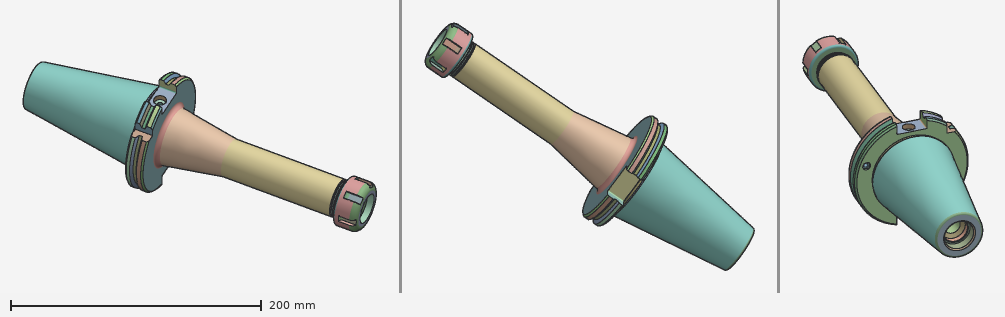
import cadquery as cq
import math

TOTAL_LENGTH = 296.8

TAPER_PER_LENGTH = 7 / 24
GAUGE_X = 101.8
GAUGE_RADIUS = 35.0
SHANK_END_RADIUS = GAUGE_RADIUS - GAUGE_X * TAPER_PER_LENGTH / 2
SHANK_END_ROUND = 1.8
RELIEF_RADIUS = 34.0
RELIEF_CHAMFER = 1.0

FLANGE_BACK_X = 105.0
FLANGE_FRONT_X = 120.8
FLANGE_RADIUS = 48.7
FLANGE_CHAMFER = 1.5
FLANGE_ROOT_FILLET = 4.0
GRIP_GROOVE_X = 112.5
GRIP_GROOVE_RADIUS = 45.7
GRIP_GROOVE_FLOOR_WIDTH = 2.7
GRIP_GROOVE_HALF_ANGLE = 30

DRIVE_SLOT_WIDTH = 25.8
DRIVE_SLOT_FILLET = 1.0
TOP_SLOT_FLOOR_Z = 38.0
BOTTOM_SLOT_FLOOR_Z = -35.3
NOTCH_EDGE = 30.0

SLOT_HOLE_RADIUS = 5.0
SLOT_HOLE_DEPTH = 4.7
SLOT_PILOT_RADIUS = 2.0
SLOT_PILOT_DEPTH = 9.0

COOLANT_HOLE_RADIUS = 3.3
COOLANT_HOLE_DEPTH = 1.8
COOLANT_PILOT_RADIUS = 1.8
COOLANT_PILOT_DEPTH = 7.5
COOLANT_CIRCLE_RADIUS = 41.3
COOLANT_ANGLES = (20, 200)

CONE_START_RADIUS = 25.0
CONE_END_X = 174.8
NECK_RADIUS = 16.0
NECK_END_X = 271.3
COLLAR_X = 272.8
COLLAR_WIDTH = 1.2
COLLAR_SLOPE_WIDTH = 0.5
NOSE_RADIUS = 15.0
NOSE_END_X = 291.0

BORE_RADIUS = 6.8
THREAD_RADIUS = 10.5
THREAD_MOUTH_RADIUS = 11.0
PILOT_RADIUS = 12.5
MOUTH_RADIUS = 13.7
PILOT_DEPTH = 9.0
THREAD_DEPTH = 14.2
DRILL_POINT_ANGLE = 118

NUT_BACK_X = 276.7
NUT_RADIUS = 21.0
NUT_OPENING_RADIUS = 12.5
NUT_BACK_ROUND = 1.8
NUT_FRONT_ROUND = 5.5
NUT_SLOT_COUNT = 6
NUT_SLOT_WIDTH = 6.0
NUT_SLOT_BACK_X = 281.7
NUT_SLOT_DEPTH = 3.0
NUT_SLOT_OFFSET_ANGLE = 4


def revolve_about_x(outline):
    """Revolve a closed outline, drawn in X and radius, about the X axis."""
    return outline.close().revolve(360, (0, 0, 0), (1, 0, 0))


def holder_blank():
    cone_slope = (NECK_RADIUS - CONE_START_RADIUS) / (CONE_END_X - FLANGE_FRONT_X)
    collar_end_x = COLLAR_X + COLLAR_WIDTH
    fillet_end_x = FLANGE_FRONT_X + FLANGE_ROOT_FILLET
    fillet_end_radius = CONE_START_RADIUS + cone_slope * FLANGE_ROOT_FILLET
    outline = (
        cq.Workplane("XY")
        .moveTo(0, 0)
        .lineTo(0, SHANK_END_RADIUS)
        .lineTo(GAUGE_X, GAUGE_RADIUS)
        .lineTo(GAUGE_X + RELIEF_CHAMFER, RELIEF_RADIUS)
        .lineTo(FLANGE_BACK_X, RELIEF_RADIUS)
        .lineTo(FLANGE_BACK_X, FLANGE_RADIUS - FLANGE_CHAMFER)
        .lineTo(FLANGE_BACK_X + FLANGE_CHAMFER, FLANGE_RADIUS)
        .lineTo(FLANGE_FRONT_X - FLANGE_CHAMFER, FLANGE_RADIUS)
        .lineTo(FLANGE_FRONT_X, FLANGE_RADIUS - FLANGE_CHAMFER)
        .lineTo(FLANGE_FRONT_X, fillet_end_radius + FLANGE_ROOT_FILLET)
        .radiusArc((fillet_end_x, fillet_end_radius), -FLANGE_ROOT_FILLET)
        .lineTo(CONE_END_X, NECK_RADIUS)
        .lineTo(NECK_END_X, NECK_RADIUS)
        .lineTo(NECK_END_X + COLLAR_SLOPE_WIDTH, NOSE_RADIUS)
        .lineTo(COLLAR_X - COLLAR_SLOPE_WIDTH, NOSE_RADIUS)
        .lineTo(COLLAR_X, NECK_RADIUS)
        .lineTo(collar_end_x, NECK_RADIUS)
        .lineTo(collar_end_x + COLLAR_SLOPE_WIDTH, NOSE_RADIUS)
        .lineTo(NOSE_END_X, NOSE_RADIUS)
        .lineTo(NOSE_END_X, 0)
    )
    return revolve_about_x(outline)


def grip_groove():
    floor_half = GRIP_GROOVE_FLOOR_WIDTH / 2
    flare = (FLANGE_RADIUS - GRIP_GROOVE_RADIUS) * math.tan(math.radians(GRIP_GROOVE_HALF_ANGLE))
    outline = (
        cq.Workplane("XY")
        .moveTo(GRIP_GROOVE_X - floor_half, GRIP_GROOVE_RADIUS)
        .lineTo(GRIP_GROOVE_X - floor_half - flare, FLANGE_RADIUS)
        .lineTo(GRIP_GROOVE_X + floor_half + flare, FLANGE_RADIUS)
        .lineTo(GRIP_GROOVE_X + floor_half, GRIP_GROOVE_RADIUS)
    )
    return revolve_about_x(outline)


def axial_bore():
    mouth_chamfer = MOUTH_RADIUS - PILOT_RADIUS
    thread_chamfer = THREAD_MOUTH_RADIUS - THREAD_RADIUS
    drill_point = (THREAD_RADIUS - BORE_RADIUS) / math.tan(math.radians(DRILL_POINT_ANGLE / 2))
    outline = (
        cq.Workplane("XY")
        .moveTo(0, 0)
        .lineTo(0, MOUTH_RADIUS)
        .lineTo(mouth_chamfer, PILOT_RADIUS)
        .lineTo(PILOT_DEPTH, PILOT_RADIUS)
        .lineTo(PILOT_DEPTH, THREAD_MOUTH_RADIUS)
        .lineTo(PILOT_DEPTH + thread_chamfer, THREAD_RADIUS)
        .lineTo(THREAD_DEPTH, THREAD_RADIUS)
        .lineTo(THREAD_DEPTH + drill_point, BORE_RADIUS)
        .lineTo(NOSE_END_X, BORE_RADIUS)
        .lineTo(NOSE_END_X, 0)
    )
    return revolve_about_x(outline)


def flange_cut(y_min, y_max, z_min, z_max):
    """A block as wide as the flange that removes the given range of Y and Z."""
    width = FLANGE_FRONT_X - FLANGE_BACK_X
    block = cq.Workplane("XY").box(width, y_max - y_min, z_max - z_min, centered=False)
    return block.translate((FLANGE_BACK_X, y_min, z_min))


def drive_slot(z_min, z_max, floor):
    """A slot across the flange with small fillets along the floor face picked by the selector."""
    half_width = DRIVE_SLOT_WIDTH / 2
    slot = flange_cut(-half_width, half_width, z_min, z_max)
    return slot.faces(floor).edges("|X").fillet(DRIVE_SLOT_FILLET)


def slot_hole():
    floor = cq.Workplane("XY", origin=(GRIP_GROOVE_X, 0, TOP_SLOT_FLOOR_Z))
    pilot = floor.circle(SLOT_PILOT_RADIUS).extrude(-SLOT_PILOT_DEPTH)
    return floor.circle(SLOT_HOLE_RADIUS).extrude(-SLOT_HOLE_DEPTH).union(pilot)


def coolant_hole(angle):
    """A stepped blind hole in the back of the flange, at an angle from +Y towards +Z."""
    y = COOLANT_CIRCLE_RADIUS * math.cos(math.radians(angle))
    z = COOLANT_CIRCLE_RADIUS * math.sin(math.radians(angle))
    back = cq.Workplane("YZ", origin=(FLANGE_BACK_X, y, z))
    pilot = back.circle(COOLANT_PILOT_RADIUS).extrude(COOLANT_PILOT_DEPTH)
    return back.circle(COOLANT_HOLE_RADIUS).extrude(COOLANT_HOLE_DEPTH).union(pilot)


def make_holder():
    holder = holder_blank().faces("<X").edges().fillet(SHANK_END_ROUND)
    holder = holder.cut(grip_groove())
    holder = holder.cut(axial_bore())
    holder = holder.cut(drive_slot(TOP_SLOT_FLOOR_Z, FLANGE_RADIUS, floor="<Z"))
    holder = holder.cut(drive_slot(-FLANGE_RADIUS, BOTTOM_SLOT_FLOOR_Z, floor=">Z"))
    holder = holder.cut(flange_cut(-FLANGE_RADIUS, -NOTCH_EDGE, NOTCH_EDGE, FLANGE_RADIUS))
    holder = holder.cut(slot_hole())
    for angle in COOLANT_ANGLES:
        holder = holder.cut(coolant_hole(angle))
    return holder


def nut_blank():
    """Ring with a recess that fits over the holder's nose and a smaller opening in front of it."""
    outline = (
        cq.Workplane("XY")
        .moveTo(NUT_BACK_X, NOSE_RADIUS)
        .lineTo(NUT_BACK_X, NUT_RADIUS - NUT_BACK_ROUND)
        .radiusArc((NUT_BACK_X + NUT_BACK_ROUND, NUT_RADIUS), NUT_BACK_ROUND)
        .lineTo(TOTAL_LENGTH - NUT_FRONT_ROUND, NUT_RADIUS)
        .radiusArc((TOTAL_LENGTH, NUT_RADIUS - NUT_FRONT_ROUND), NUT_FRONT_ROUND)
        .lineTo(TOTAL_LENGTH, NUT_OPENING_RADIUS)
        .lineTo(NOSE_END_X, NUT_OPENING_RADIUS)
        .lineTo(NOSE_END_X, NOSE_RADIUS)
    )
    return revolve_about_x(outline)


def wrench_slot(angle):
    """A slot open to the nut's front, with a rounded back end, turned from +Z towards -Y."""
    floor_radius = NUT_RADIUS - NUT_SLOT_DEPTH
    slot = (
        cq.Workplane("XZ", origin=(0, NUT_SLOT_WIDTH / 2, 0))
        .moveTo(NUT_SLOT_BACK_X, NUT_RADIUS)
        .radiusArc((NUT_SLOT_BACK_X + NUT_SLOT_DEPTH, floor_radius), -NUT_SLOT_DEPTH)
        .lineTo(TOTAL_LENGTH, floor_radius)
        .lineTo(TOTAL_LENGTH, NUT_RADIUS)
        .close()
        .extrude(NUT_SLOT_WIDTH)
    )
    return slot.rotate((0, 0, 0), (1, 0, 0), angle)


def make_nut():
    nut = nut_blank()
    pitch = 360 / NUT_SLOT_COUNT
    for index in range(NUT_SLOT_COUNT):
        nut = nut.cut(wrench_slot(index * pitch + pitch / 2 - NUT_SLOT_OFFSET_ANGLE))
    return nut


holder = make_holder()
nut = make_nut()

result = cq.Compound.makeCompound([holder.val(), nut.val()])